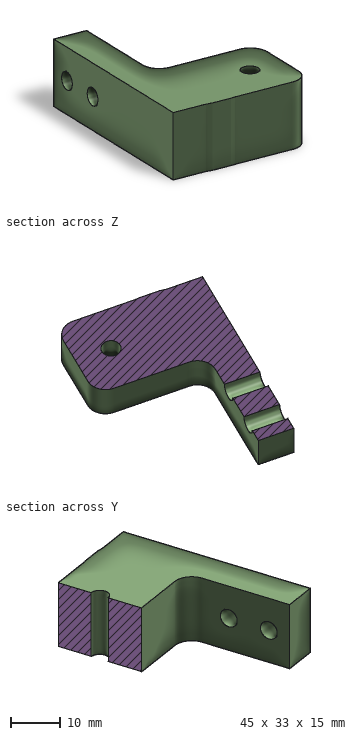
import cadquery as cq

overall_length = 45.0
overall_depth = 33.0
height = 15.0
base_length = 44.78
base_thickness = 8.0
upright_left = 24.98
upright_right = 44.9
corner_radius = 4.0

land_start_y = 9.45
land_end_y = 14.0
land_slope_end_y = 15.0

hole_diameter = 4.0
base_hole_positions = (5.0, 14.6)
upright_hole_x = 35.0
upright_hole_from_end = 8.0


def bracket_body():
    """L-shaped plate with rounded upright corners and a rounded inner corner."""
    body = (
        cq.Workplane("XY")
        .lineTo(base_length, 0)
        .lineTo(base_length, base_thickness)
        .lineTo(overall_length, land_start_y)
        .lineTo(overall_length, land_end_y)
        .lineTo(upright_right, land_slope_end_y)
        .lineTo(upright_right, overall_depth)
        .lineTo(upright_left, overall_depth)
        .lineTo(upright_left, base_thickness)
        .lineTo(0, base_thickness)
        .close()
        .extrude(height)
    )
    rounded_corners = (
        (upright_right, overall_depth),
        (upright_left, overall_depth),
        (upright_left, base_thickness),
    )
    for x, y in rounded_corners:
        corner_edge = cq.selectors.NearestToPointSelector((x, y, height / 2))
        body = body.edges("|Z").edges(corner_edge).fillet(corner_radius)
    return body


def base_holes():
    """Holes along Y through the thin arm of the base."""
    return (
        cq.Workplane("XZ")
        .pushPoints([(x, height / 2) for x in base_hole_positions])
        .circle(hole_diameter / 2)
        .extrude(-base_thickness)
    )


def upright_hole():
    """Vertical hole through the upright."""
    return (
        cq.Workplane("XY")
        .center(upright_hole_x, overall_depth - upright_hole_from_end)
        .circle(hole_diameter / 2)
        .extrude(height)
    )


result = bracket_body().cut(base_holes()).cut(upright_hole())